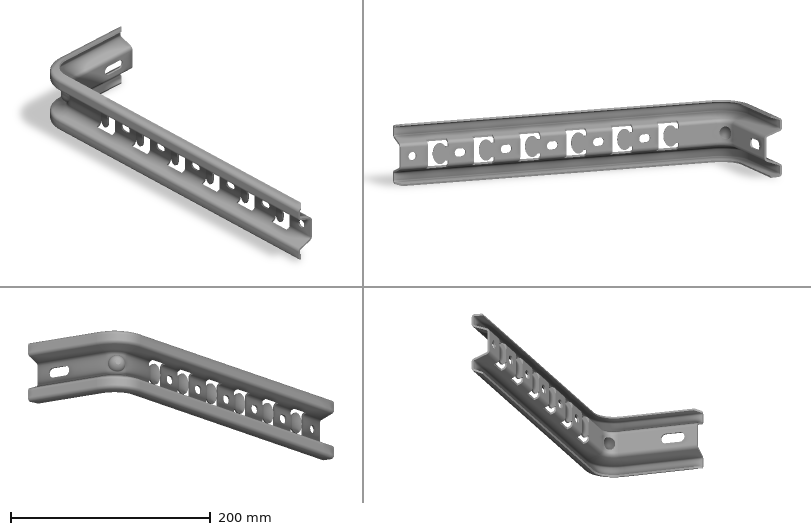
import cadquery as cq
import math

arm_length = 374.0
upright_length = 115.0
rail_width = 63.43
rail_depth = 19.0
sheet = 2.0

web_half = 9.5
web_bend_inner = 2.5
flange_bend_inner = 1.5
wall_angle = 70.0
lip_angle = 75.0
lip_depth = 9.3

corner_radius = 31.0

lip_corner = 6.0

pitch = 50.0
window_count = 6
window_start = 72.0
window_length = 22.0
window_half_height = 16.0
window_floor = 13.0
tongue_bend = 2.5
tongue_neck_width = 14.6
tongue_tilt = 15.0
tongue_centre = 6.0
tongue_half_length = 7.2
tongue_half_width = 10.6

slot_start = 109.0
slot_length = 12.0
slot_height = 8.5
end_hole_x = 360.7
end_hole_diameter = 8.5
upright_slot_y = 89.0
upright_slot_length = 25.0
upright_slot_height = 10.0

dome_radius = 8.5
dome_centre = 12.0
dome_tip_radius = 2.6
dome_base_fillet = 0.8

half_width = rail_width / 2
web_front = rail_depth - sheet


def cross_section_corners():
    """Sharp corners (depth, Z, rounding radius) of the upper half, along the front and the back face."""
    wall = math.radians(wall_angle)
    lip = math.radians(lip_angle)
    web_bend_outer = web_bend_inner + sheet
    flange_bend_outer = flange_bend_inner + sheet

    web_front_z = web_half + web_bend_inner * math.tan(wall / 2)
    web_back_z = web_half + web_bend_outer * math.tan(wall / 2)
    wall_rise = web_front / math.tan(wall)
    lip_front_z = half_width - lip_depth / math.tan(lip)
    lip_back_z = lip_front_z - sheet * math.tan(lip / 2)

    front_face = [
        (web_front, web_front_z, web_bend_inner),
        (0, web_front_z + wall_rise, flange_bend_outer),
        (0, lip_front_z, flange_bend_outer),
        (lip_depth, half_width, 0),
    ]
    back_face = [
        (rail_depth, web_back_z, web_bend_outer),
        (sheet, web_back_z + wall_rise, flange_bend_inner),
        (sheet, lip_back_z, flange_bend_inner),
        (lip_depth + sheet * math.cos(lip), half_width - sheet * math.sin(lip), 0),
    ]
    return front_face, back_face


def rounded_outline(workplane, corners):
    """Closed outline through the corners, each rounded by its own radius; the first one is sharp."""
    points = [cq.Vector(depth, height) for depth, height, _ in corners]
    outline = workplane.moveTo(points[0].x, points[0].y)
    for index in range(1, len(points)):
        corner = points[index]
        radius = corners[index][2]
        if radius == 0:
            outline = outline.lineTo(corner.x, corner.y)
            continue
        to_previous = (points[index - 1] - corner).normalized()
        to_next = (points[index + 1] - corner).normalized()
        half_angle = to_previous.getAngle(to_next) / 2
        setback = radius / math.tan(half_angle)
        bisector = (to_previous + to_next).normalized()
        start = corner + to_previous * setback
        middle = corner + bisector * (radius / math.sin(half_angle) - radius)
        end = corner + to_next * setback
        outline = outline.lineTo(start.x, start.y)
        outline = outline.threePointArc((middle.x, middle.y), (end.x, end.y))
    return outline.close()


def mirrored(corners):
    """The same corners below the middle of the web."""
    return [(depth, -height, radius) for depth, height, radius in corners]


def cross_section(workplane):
    """Whole rail section; local x is depth from the front face, local y is Z."""
    front_face, back_face = cross_section_corners()
    front = front_face[::-1] + mirrored(front_face)
    back = mirrored(back_face[::-1]) + back_face
    return rounded_outline(workplane, front + back)


def bent_rail():
    """Long arm, quarter-round corner and upright arm with one constant section."""
    long_arm_plane = cq.Plane((corner_radius, 0, 0), xDir=(0, 1, 0), normal=(1, 0, 0))
    long_arm = cross_section(cq.Workplane(long_arm_plane)).extrude(arm_length - corner_radius)
    upright_plane = cq.Plane((0, corner_radius, 0), xDir=(1, 0, 0), normal=(0, -1, 0))
    upright = cross_section(cq.Workplane(upright_plane)).extrude(-(upright_length - corner_radius))
    corner = cross_section(cq.Workplane(upright_plane)).revolve(
        90, (corner_radius, 0), (corner_radius, 1)
    )
    return long_arm.union(corner).union(upright)


def lip_corner_cutters():
    """Triangular prisms that cut the lip corners at both free ends, above and below."""
    near = lip_depth - lip_corner
    far = lip_depth + sheet
    leg = far - near
    long_arm_wedge = cq.Workplane("XY").polyline([
        (arm_length, near),
        (arm_length, far),
        (arm_length - leg, far),
    ]).close().extrude(half_width, both=True)
    upright_wedge = cq.Workplane("XY").polyline([
        (near, upright_length),
        (far, upright_length),
        (far, upright_length - leg),
    ]).close().extrude(half_width, both=True)
    _, back_face = cross_section_corners()
    lip_root = back_face[2][1]
    between_lips = cq.Workplane("XY").box(2 * arm_length, 2 * upright_length, 2 * lip_root)
    return long_arm_wedge.union(upright_wedge).cut(between_lips)


def front_plane(x):
    """XZ plane on the front of the long arm at distance x; extrude(-depth) goes into the rail."""
    return cq.Workplane("XZ", origin=(x, 0, 0))


def window(start):
    """Opening through the web that leaves a flat neck on its left side."""
    opening = front_plane(start + window_length / 2).workplane(offset=-window_floor).rect(
        window_length, 2 * window_half_height
    ).extrude(-(rail_depth - window_floor))
    neck = front_plane(start + tongue_bend / 2).workplane(offset=-web_front).rect(
        tongue_bend, tongue_neck_width
    ).extrude(-sheet)
    return opening.cut(neck)


def tongue(start):
    """Oval tongue hanging on the neck and tilted toward the front of the rail."""
    oval = cq.Workplane("XZ").center(tongue_centre, 0).ellipse(
        tongue_half_length, tongue_half_width
    ).extrude(sheet)
    beyond_neck = cq.Workplane("XZ").center(tongue_half_length, 0).rect(
        2 * tongue_half_length, 2 * tongue_half_width
    ).extrude(sheet)
    blade = oval.intersect(beyond_neck).rotate((0, 0, 0), (0, 0, 1), -tongue_tilt)
    return blade.translate((start + tongue_bend, rail_depth, 0))


def web_slot(x, length, height):
    """Round-ended slot through the web of the long arm."""
    return front_plane(x).slot2D(length, height).extrude(-rail_depth)


def upright_slot():
    """Round-ended slot through the web of the upright arm."""
    return cq.Workplane("YZ", origin=(0, upright_slot_y, 0)).slot2D(
        upright_slot_length, upright_slot_height
    ).extrude(rail_depth)


def add_dome(body):
    """Press a hollow, flat-topped dome outward from the web of the corner."""
    mid_web_radius = corner_radius - rail_depth + sheet / 2
    diagonal = cq.Plane(
        (corner_radius, corner_radius, 0), xDir=(0, 0, 1), normal=(-1, -1, 0)
    )
    tip = dome_centre + math.sqrt(dome_radius ** 2 - dome_tip_radius ** 2)
    below_tip = cq.Workplane(diagonal).circle(2 * dome_radius).extrude(tip)
    centre = diagonal.toWorldCoords((0, 0, dome_centre))
    outer = cq.Workplane("XY").sphere(dome_radius).translate(centre).intersect(below_tip)
    hollow = cq.Workplane("XY").sphere(dome_radius - sheet).translate(centre)
    inside_web = cq.Workplane("XY", origin=(corner_radius, corner_radius, 0)).circle(
        mid_web_radius
    ).extrude(dome_radius, both=True)
    domed = body.union(outer.cut(inside_web))
    base_edge = cq.selectors.BoxSelector(
        (web_front, web_front, -web_half),
        (corner_radius, corner_radius, web_half),
        boundingbox=True,
    )
    return domed.edges(base_edge).fillet(dome_base_fillet).cut(hollow)


result = bent_rail().cut(lip_corner_cutters())
for index in range(window_count):
    start = window_start + index * pitch
    result = result.cut(window(start)).union(tongue(start))
for index in range(window_count - 1):
    result = result.cut(web_slot(slot_start + index * pitch, slot_length, slot_height))
result = result.cut(front_plane(end_hole_x).circle(end_hole_diameter / 2).extrude(-rail_depth))
result = result.cut(upright_slot())
result = add_dome(result)